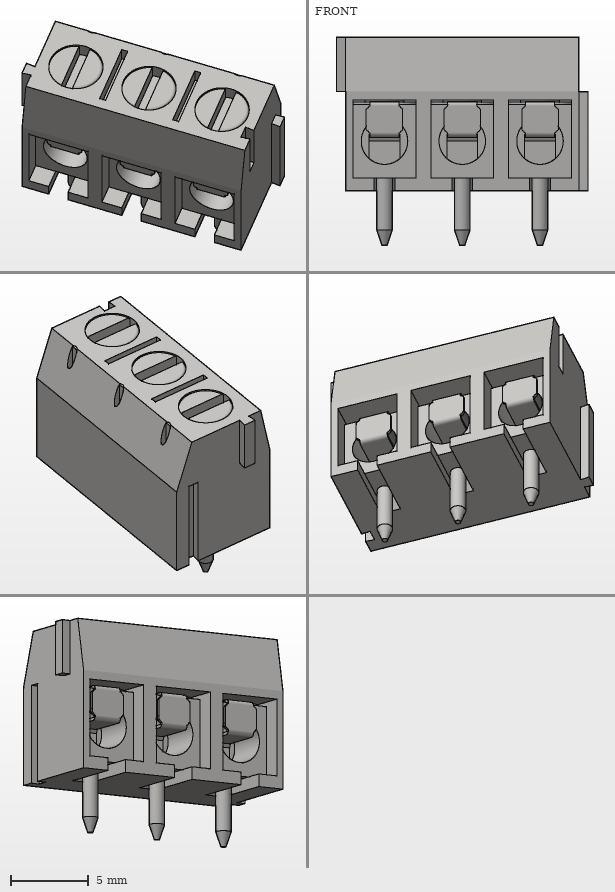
import cadquery as cq
import math


overall_length = 16.2
pole_count = 3
pole_pitch = 5.0
housing_length = 15.0
housing_width = 7.5
housing_height = 9.9
shoulder_z = 6.4
front_slope_run = 0.73
back_slope_run = 1.22

dovetail_depth = (overall_length - housing_length) / 2
dovetail_root = 0.73
dovetail_tip = 0.85
upper_dovetail_y = -1.68
lower_dovetail_y = 2.38

pocket_width = 4.05
pocket_floor_z = 0.83
pocket_ceiling_z = 5.85
wall_depth = 1.3
pin_slot_width = 1.33
pin_slot_end_run = 0.58

divider_slot_width = 0.4
divider_slot_length = 4.16
divider_slot_y = -0.23
divider_slot_depth = 1.0
probe_hole_diameter = 0.6
probe_hole_y = 2.75
probe_hole_depth = 3.0
probe_ledge_depth = 0.107
probe_ledge_drop = 0.075

axis_y = -0.45
screw_head_diameter = 3.5
screw_head_height = 2.0
screw_head_fillet = 0.2
screw_shank_diameter = 2.5
screw_tip_z = 4.86
screw_slot_width = 0.75
screw_slot_depth = 1.0

wall_thickness = 0.34
wall_top_z = 5.55
wire_bore_diameter = 3.0
wire_bore_z = 3.2
wire_bore_depth = 3.08
terminal_top_z = 5.72
terminal_corner_radius = 0.87
pin_diameter = 1.0
pin_length = 3.5
pin_tip_diameter = 0.34
pin_taper_length = 0.97

guard_thickness = 0.2
guard_bend_radius = 0.29
guard_strip_width = 1.9
guard_plate_width = 2.35
guard_plate_top_z = 5.46
guard_plate_corner = 0.21
guard_bottom_z = 3.45
guard_tail_width = 2.0
guard_slope_run = 0.1

front_y = -housing_width / 2
wall_front_y = front_y + wall_depth
terminal_front_y = wall_front_y + wall_thickness
terminal_back_y = 2 * axis_y - terminal_front_y
bore_end_y = wall_front_y + wire_bore_depth
screw_head_z = housing_height - screw_head_height
pole_xs = [(i - (pole_count - 1) / 2) * pole_pitch for i in range(pole_count)]
divider_xs = [(left + right) / 2 for left, right in zip(pole_xs, pole_xs[1:])]


def box(x_min, x_max, y_min, y_max, z_min, z_max):
    """Block between the given limits."""
    size = (x_max - x_min, y_max - y_min, z_max - z_min)
    return cq.Workplane("XY").box(*size, centered=False).translate((x_min, y_min, z_min))


def centred_box(width, y_min, y_max, z_min, z_max):
    """Block centred on X = 0."""
    return box(-width / 2, width / 2, y_min, y_max, z_min, z_max)


def upright_cylinder(diameter, y, z_min, z_max):
    """Vertical cylinder at X = 0."""
    return cq.Workplane("XY", origin=(0, y, z_min)).circle(diameter / 2).extrude(z_max - z_min)


def wire_bore():
    """Round wire entry from the front of the terminal wall, ending inside the block."""
    start = cq.Workplane("XZ", origin=(0, wall_front_y, wire_bore_z))
    return start.circle(wire_bore_diameter / 2).extrude(-wire_bore_depth)


def dovetail(root_x, y, z_min, z_max):
    """Dovetail bar that widens towards -X from its root plane."""
    tip_x = root_x - dovetail_depth
    outline = [
        (root_x, y - dovetail_root / 2),
        (tip_x, y - dovetail_tip / 2),
        (tip_x, y + dovetail_tip / 2),
        (root_x, y + dovetail_root / 2),
    ]
    return cq.Workplane("XY", origin=(0, 0, z_min)).polyline(outline).close().extrude(z_max - z_min)


def mirrored_dovetail(root_x, y, z_min, z_max):
    """Dovetail bar that widens towards +X from its root plane."""
    return dovetail(-root_x, y, z_min, z_max).mirror("YZ")


def shell():
    """Solid housing block with sloped upper faces and its joining dovetails."""
    back_y = housing_width / 2
    outline = [
        (front_y, 0),
        (back_y, 0),
        (back_y, shoulder_z),
        (back_y - back_slope_run, housing_height),
        (front_y + front_slope_run, housing_height),
        (front_y, shoulder_z),
    ]
    half_length = housing_length / 2
    body = cq.Workplane("YZ").polyline(outline).close().extrude(half_length, both=True)
    body = body.union(dovetail(-half_length, upper_dovetail_y, shoulder_z, housing_height))
    body = body.union(mirrored_dovetail(half_length, lower_dovetail_y, 0, shoulder_z))

    body = body.cut(dovetail(half_length, upper_dovetail_y, shoulder_z, housing_height))
    return body.cut(mirrored_dovetail(-half_length, lower_dovetail_y, 0, shoulder_z))


def pin_slot():
    """Slot in the pocket floor, open to the front, with its end sloping back behind the pin."""
    end_top_y = axis_y + pin_diameter / 2
    outline = [
        (front_y, 0),
        (end_top_y + pin_slot_end_run, 0),
        (end_top_y, pocket_floor_z),
        (front_y, pocket_floor_z),
    ]
    return cq.Workplane("YZ").polyline(outline).close().extrude(pin_slot_width / 2, both=True)


def probe_hole():
    """Round hole in the back slope, with a small sloping ledge left where it crosses the roof edge."""
    bottom_z = housing_height - probe_hole_depth
    hole_front_y = probe_hole_y - probe_hole_diameter / 2
    ledge_end_y = hole_front_y + probe_ledge_depth
    ledge_outline = [
        (hole_front_y, bottom_z),
        (ledge_end_y, bottom_z),
        (ledge_end_y, housing_height - probe_ledge_drop),
        (hole_front_y, housing_height),
    ]
    ledge = cq.Workplane("YZ").polyline(ledge_outline).close().extrude(probe_hole_diameter, both=True)
    return upright_cylinder(probe_hole_diameter, probe_hole_y, bottom_z, housing_height).cut(ledge)


def pole_cavity():
    """Everything removed from the housing for one pole at X = 0."""
    pocket = centred_box(pocket_width, front_y, terminal_back_y, pocket_floor_z, pocket_ceiling_z)
    head_hole = upright_cylinder(screw_head_diameter, axis_y, screw_head_z, housing_height)
    shank_hole = upright_cylinder(screw_shank_diameter, axis_y, pocket_ceiling_z, screw_head_z)
    cavity = pocket
    for opening in (pin_slot(), head_hole, shank_hole, probe_hole()):
        cavity = cavity.union(opening)
    return cavity


def make_housing():
    """Plastic housing with all pole cavities and the divider slots in its roof."""
    body = shell()
    for x in pole_xs:
        body = body.cut(pole_cavity().translate((x, 0, 0)))
    divider_slot = centred_box(
        divider_slot_width,
        divider_slot_y - divider_slot_length / 2,
        divider_slot_y + divider_slot_length / 2,
        housing_height - divider_slot_depth,
        housing_height,
    )
    for x in divider_xs:
        body = body.cut(divider_slot.translate((x, 0, 0)))
    return body


def make_screw():
    """Slotted screw with a round-edged head, at X = 0."""
    head = upright_cylinder(screw_head_diameter, axis_y, screw_head_z, housing_height)
    head = head.faces(">Z").edges().fillet(screw_head_fillet)
    shank = upright_cylinder(screw_shank_diameter, axis_y, screw_tip_z, screw_head_z)
    head_radius = screw_head_diameter / 2
    slot = centred_box(
        screw_slot_width,
        axis_y - head_radius,
        axis_y + head_radius,
        housing_height - screw_slot_depth,
        housing_height,
    )
    return head.union(shank).cut(slot)


def make_terminal():
    """Rounded terminal block with a front wall, a wire bore, a screw hole and a solder pin, at X = 0."""
    block = centred_box(
        pocket_width, terminal_front_y, terminal_back_y, pocket_floor_z, terminal_top_z
    )
    block = block.edges("|Z").fillet(terminal_corner_radius)
    wall_back_y = terminal_front_y + terminal_corner_radius
    wall = centred_box(pocket_width, wall_front_y, wall_back_y, pocket_floor_z, wall_top_z)
    screw_hole = upright_cylinder(screw_shank_diameter, axis_y, screw_tip_z, terminal_top_z)
    pin_outline = [
        (0, pocket_floor_z),
        (pin_diameter / 2, pocket_floor_z),
        (pin_diameter / 2, pin_taper_length - pin_length),
        (pin_tip_diameter / 2, -pin_length),
        (0, -pin_length),
    ]
    pin = cq.Workplane("XZ").polyline(pin_outline).close().revolve(360, (0, 0), (0, 1))
    return block.union(wall).cut(wire_bore()).cut(screw_hole).union(pin.translate((0, axis_y, 0)))


def make_wire_guard():
    """Bent strip that hooks over the terminal wall and runs back through the wire bore, at X = 0."""
    plate_front_y = wall_front_y - guard_thickness
    bend_y = plate_front_y + guard_bend_radius
    top_z = guard_plate_top_z + guard_bend_radius
    plate_bottom_z = guard_bottom_z + guard_bend_radius
    tail_front_y = bore_end_y - guard_thickness
    slope_start_y = tail_front_y - guard_slope_run
    diagonal = guard_bend_radius * math.sqrt(0.5)

    strip = (
        cq.Workplane("YZ")
        .moveTo(terminal_front_y, top_z)
        .lineTo(bend_y, top_z)
        .threePointArc(
            (bend_y - diagonal, guard_plate_top_z + diagonal), (plate_front_y, guard_plate_top_z)
        )
        .lineTo(plate_front_y, plate_bottom_z)
        .threePointArc((bend_y - diagonal, plate_bottom_z - diagonal), (bend_y, guard_bottom_z))
        .lineTo(slope_start_y, guard_bottom_z)
        .lineTo(slope_start_y, guard_bottom_z + guard_thickness)
        .lineTo(wall_front_y, guard_bottom_z + guard_thickness)
        .lineTo(wall_front_y, wall_top_z)
        .lineTo(terminal_front_y, wall_top_z)
        .close()
        .extrude(guard_strip_width / 2, both=True)
    )

    plate = centred_box(
        guard_plate_width, plate_front_y, wall_front_y, plate_bottom_z, guard_plate_top_z
    )
    plate = plate.edges("|Y").chamfer(guard_plate_corner)

    tail = (
        cq.Workplane("YZ")
        .moveTo(slope_start_y, guard_bottom_z)
        .lineTo(tail_front_y, wire_bore_z)
        .lineTo(tail_front_y, wire_bore_z - wire_bore_diameter / 2)
        .lineTo(bore_end_y, wire_bore_z - wire_bore_diameter / 2)
        .lineTo(bore_end_y, guard_bottom_z + guard_thickness)
        .lineTo(slope_start_y, guard_bottom_z + guard_thickness)
        .close()
        .extrude(guard_tail_width / 2, both=True)
        .intersect(wire_bore())
    )
    return strip.union(plate).union(tail)


housing = make_housing()
screws = [make_screw().translate((x, 0, 0)) for x in pole_xs]
terminals = [make_terminal().translate((x, 0, 0)) for x in pole_xs]
wire_guards = [make_wire_guard().translate((x, 0, 0)) for x in pole_xs]

metal_parts = [part.val() for part in screws + terminals + wire_guards]
result = cq.Compound.makeCompound([housing.val(), *metal_parts])